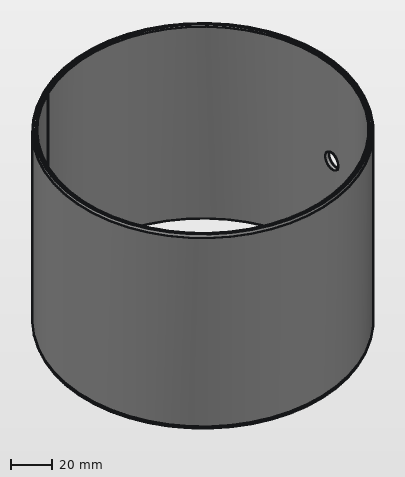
import cadquery as cq
import math

outer_diameter = 165.0
wall = 2.5
height = 120.0
outer_bevel_height = 1.8
outer_bevel_angle = 20.0
inner_bevel = 0.8
slit_angle = 1.0
hole_diameter = 10.0
hole_from_slit_angle = 120.0

outer_radius = outer_diameter / 2
inner_radius = outer_radius - wall
half_height = height / 2

slit_start_angle = 180.0 - slit_angle
hole_angle = slit_start_angle - hole_from_slit_angle


def make_split_sleeve():
    """Thin sleeve about Z, bevelled inside and out at both rims, open along a slit.

    The wall section starts on the -X side and sweeps counterclockwise,
    stopping short of a full turn by the slit angle.
    """
    outer_bevel_depth = outer_bevel_height * math.tan(math.radians(outer_bevel_angle))
    rim_outer_radius = outer_radius - outer_bevel_depth
    rim_inner_radius = inner_radius + inner_bevel
    outer_bevel_z = half_height - outer_bevel_height
    inner_bevel_z = half_height - inner_bevel
    section = [
        (-outer_radius, -outer_bevel_z),
        (-outer_radius, outer_bevel_z),
        (-rim_outer_radius, half_height),
        (-rim_inner_radius, half_height),
        (-inner_radius, inner_bevel_z),
        (-inner_radius, -inner_bevel_z),
        (-rim_inner_radius, -half_height),
        (-rim_outer_radius, -half_height),
    ]
    sweep_angle = 360.0 - slit_angle
    return cq.Workplane("XZ").polyline(section).close().revolve(sweep_angle, (0, 0), (0, 1))


def make_hole_cutter():
    """Radial cylinder from the axis outward, piercing the wall once at mid height."""
    cutter = cq.Workplane("YZ").circle(hole_diameter / 2).extrude(outer_diameter)
    return cutter.rotate((0, 0, 0), (0, 0, 1), hole_angle)


result = make_split_sleeve().cut(make_hole_cutter())